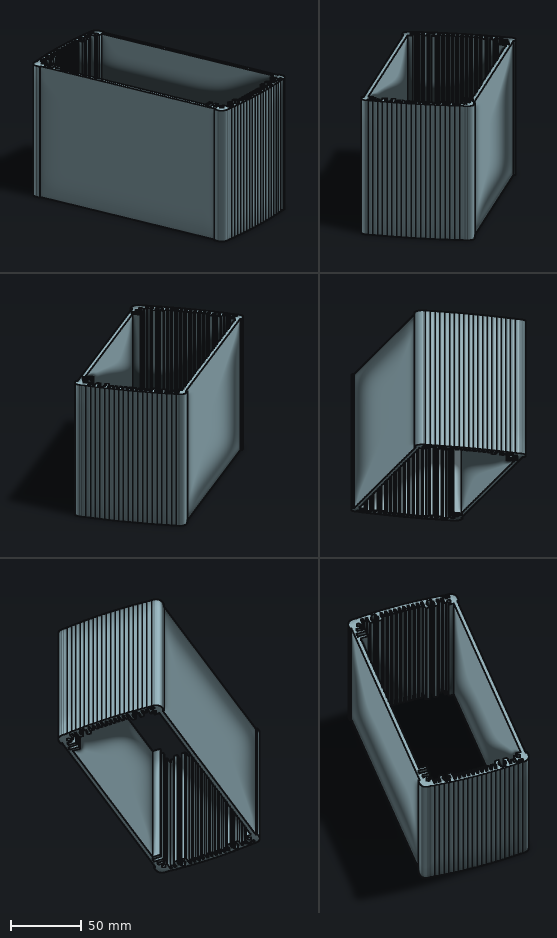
import cadquery as cq
import math


WIDTH = 169
DEPTH = 82.0
LENGTH = 100.0
HALF_WIDTH = WIDTH / 2
HALF_DEPTH = DEPTH / 2

PANEL_RECESS = 1.2
PANEL_THICKNESS = 3.2
PANEL_OUTER = HALF_DEPTH - PANEL_RECESS
PANEL_INNER = PANEL_OUTER - PANEL_THICKNESS
PAD_START = 74.7

CORNER_START = 77.5
SIDE_CROWN_RADIUS = 338

FLUTE_COUNT = 20
FLUTE_PITCH = 3.5
FLUTE_RADIUS = 5.4
FLUTED_HALF = FLUTE_COUNT * FLUTE_PITCH / 2
SIDE_INNER = 80.6

FIN_TIP = 77.9
FIN_PITCH = 3.4
FIN_THICKNESS = 1.7
FIN_COUNT = 9
OUTER_FIN_Y = 28.2
GROOVE_COUNT = FIN_COUNT + 1
GROOVE_WIDTH = 1.2
GROOVE_BOTTOM = 81.8

CHANNEL_Y = 21.0
CHANNEL_BLOCK_HEIGHT = 9.8
CHANNEL_TIP = 75.2
CHANNEL_TIP_CHAMFER = 0.8
CHANNEL_WIDTH = 3.4
CHANNEL_BOTTOM = 81.8
CHANNEL_BOTTOM_CHAMFER = 0.5
NOTCH_WIDTH = 5.4
NOTCH_INNER = 77.4
NOTCH_OUTER = 79.6

PORT_X = 76.2
PORT_Y = 34.0
PORT_RADIUS = 1.4
PORT_LIP_X = 73.2
PORT_LIP_END = 33.0
PORT_JAW_Y = 31.6
CORNER_BLOCK_END = 30.8
MOUTH_ANGLE = math.radians(225)
PORT_ENTRY_X = PORT_X - PORT_RADIUS

SPLIT_Y = FLUTED_HALF
HOOK_STEM_X = 80.6
HOOK_TIP_X = 80.1
HOOK_TIP_TOP = 34.0
HOOK_BOTTOM = 32.8
CATCH_X = 81.3
CATCH_END = 30.8
LID_LEG_X = 79.6
LID_CORNER_GAP_X = 81.0
LID_CORNER_GAP_TOP = 35.8
BARB_CHAMFER_START = 32.0

RIB_TOP = 30.8
RIB_THICKNESS = 2.2
RIB_STARTS = (63.9, 68.8)
RIB_SLOT_FLOOR = 38.0


def crown_x(y):
    """X of the crowned side wall at height y."""
    return HALF_WIDTH - SIDE_CROWN_RADIUS + math.sqrt(SIDE_CROWN_RADIUS**2 - y**2)


def corner_radius():
    """Radius of the arc that is tangent to the corner pad and ends on the crowned side wall."""
    run = crown_x(PANEL_INNER) - CORNER_START
    rise = HALF_DEPTH - PANEL_INNER
    return (run**2 + rise**2) / (2 * rise)


def slab(x1, x2, y_center, thickness):
    """Full-length bar between x1 and x2, centred on y_center."""
    return (
        cq.Workplane("XY")
        .center((x1 + x2) / 2, y_center)
        .rect(abs(x2 - x1), thickness)
        .extrude(LENGTH)
    )


def both_halves(half):
    """Join a +X half with its mirror image."""
    return half.union(half.mirror("YZ")).clean()


def port_wall(sketch, side):
    """Trace panel, port lip, port and jaw; side is +1 for the lid and -1 for the body."""
    return (
        sketch.lineTo(PORT_LIP_X, side * PANEL_INNER)
        .lineTo(PORT_LIP_X, side * PORT_LIP_END)
        .lineTo(PORT_ENTRY_X, side * PORT_LIP_END)
        .lineTo(PORT_ENTRY_X, side * PORT_Y)
        .threePointArc(
            (PORT_X, side * (PORT_Y + PORT_RADIUS)),
            (
                PORT_X - PORT_RADIUS * math.cos(MOUTH_ANGLE),
                side * (PORT_Y + PORT_RADIUS * math.sin(MOUTH_ANGLE)),
            ),
        )
        .lineTo(CHANNEL_TIP, side * PORT_JAW_Y)
        .lineTo(CHANNEL_TIP, side * CORNER_BLOCK_END)
    )


def make_lid():
    outline = cq.Workplane("XY").moveTo(0, PANEL_OUTER).lineTo(0, PANEL_INNER)
    outline = port_wall(outline, 1)
    half = (
        outline.lineTo(LID_LEG_X, CORNER_BLOCK_END)
        .lineTo(CATCH_X, BARB_CHAMFER_START)
        .lineTo(CATCH_X, HOOK_BOTTOM)
        .lineTo(LID_LEG_X, HOOK_BOTTOM)
        .lineTo(LID_LEG_X, LID_CORNER_GAP_TOP)
        .lineTo(LID_CORNER_GAP_X, LID_CORNER_GAP_TOP)
        .lineTo(LID_CORNER_GAP_X, SPLIT_Y)
        .lineTo(crown_x(SPLIT_Y), SPLIT_Y)
        .lineTo(crown_x(PANEL_INNER), PANEL_INNER)
        .radiusArc((CORNER_START, HALF_DEPTH), -corner_radius())
        .lineTo(PAD_START, HALF_DEPTH)
        .lineTo(PAD_START, PANEL_OUTER)
        .close()
        .extrude(LENGTH)
    )
    return both_halves(half)


def body_shell():
    outline = cq.Workplane("XY").moveTo(0, -PANEL_OUTER).lineTo(0, -PANEL_INNER)
    outline = (
        port_wall(outline, -1)
        .lineTo(SIDE_INNER, -CORNER_BLOCK_END)
        .lineTo(SIDE_INNER, CATCH_END)
        .lineTo(CATCH_X, CATCH_END)
        .lineTo(CATCH_X, HOOK_BOTTOM)
        .lineTo(HOOK_TIP_X, HOOK_BOTTOM)
        .lineTo(HOOK_TIP_X, HOOK_TIP_TOP)
        .lineTo(HOOK_STEM_X, HOOK_TIP_TOP)
        .lineTo(HOOK_STEM_X, SPLIT_Y)
        .lineTo(crown_x(SPLIT_Y), SPLIT_Y)
    )
    for i in range(1, FLUTE_COUNT + 1):
        ridge_y = SPLIT_Y - i * FLUTE_PITCH
        outline = outline.radiusArc((crown_x(ridge_y), ridge_y), -FLUTE_RADIUS)
    return (
        outline.lineTo(crown_x(PANEL_INNER), -PANEL_INNER)
        .radiusArc((CORNER_START, -HALF_DEPTH), corner_radius())
        .lineTo(PAD_START, -HALF_DEPTH)
        .lineTo(PAD_START, -PANEL_OUTER)
        .close()
        .extrude(LENGTH)
    )


def add_fins(half):
    fin_ys = [(i - (FIN_COUNT - 1) / 2) * FIN_PITCH for i in range(FIN_COUNT)]
    for y in fin_ys + [OUTER_FIN_Y, -OUTER_FIN_Y]:
        half = half.union(slab(FIN_TIP, GROOVE_BOTTOM, y, FIN_THICKNESS))
    return half


def cut_grooves(half):
    for i in range(GROOVE_COUNT):
        y = (i - (GROOVE_COUNT - 1) / 2) * FIN_PITCH
        half = half.cut(slab(SIDE_INNER, GROOVE_BOTTOM, y, GROOVE_WIDTH))
    return half


def add_screw_channels(half):
    for y in (CHANNEL_Y, -CHANNEL_Y):
        block = slab(CHANNEL_TIP, GROOVE_BOTTOM, y, CHANNEL_BLOCK_HEIGHT)
        block = block.edges("|Z and <X").chamfer(CHANNEL_TIP_CHAMFER)
        channel = slab(CHANNEL_TIP, CHANNEL_BOTTOM, y, CHANNEL_WIDTH)
        channel = channel.edges("|Z and >X").chamfer(CHANNEL_BOTTOM_CHAMFER)
        notch = slab(NOTCH_INNER, NOTCH_OUTER, y, NOTCH_WIDTH)
        half = half.union(block).cut(channel).cut(notch)
    return half


def add_floor_ribs(half):
    rib_height = PANEL_OUTER - RIB_TOP
    rib_middle = -(PANEL_OUTER + RIB_TOP) / 2
    for x in RIB_STARTS:
        half = half.union(slab(x, x + RIB_THICKNESS, rib_middle, rib_height))
    slot_middle = -(RIB_SLOT_FLOOR + RIB_TOP) / 2
    slot = slab(RIB_STARTS[0] + RIB_THICKNESS, RIB_STARTS[1], slot_middle, RIB_SLOT_FLOOR - RIB_TOP)
    return half.cut(slot)


def make_body():
    half = body_shell()
    half = add_fins(half)
    half = add_screw_channels(half)
    half = cut_grooves(half)
    half = add_floor_ribs(half)
    return both_halves(half)


lid = make_lid()
body = make_body()

result = cq.Compound.makeCompound([body.val(), lid.val()])